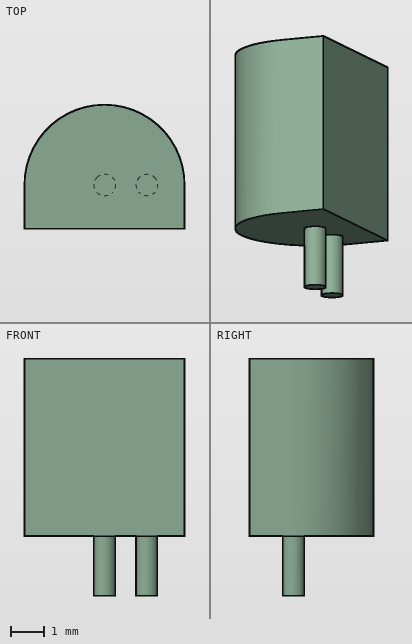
import cadquery as cq

total_height = 7.14
body_width = 4.83
body_depth = 3.74

lead_diameter = 0.65
lead_length = 1.8
lead_pitch = 1.27
lead_positions = [0.0, lead_pitch]

body_height = total_height - lead_length
body_radius = body_width / 2
flat_face_y = body_radius - body_depth


def make_body():
    """D-shaped body: flat face towards -Y, half-round side towards +Y."""
    return (
        cq.Workplane("XY")
        .moveTo(-body_radius, flat_face_y)
        .lineTo(body_radius, flat_face_y)
        .lineTo(body_radius, 0)
        .threePointArc((0, body_radius), (-body_radius, 0))
        .close()
        .extrude(body_height)
    )


def make_lead(x):
    """Round lead hanging from the underside of the body."""
    return cq.Workplane("XY").center(x, 0).circle(lead_diameter / 2).extrude(-lead_length)


body = make_body()
leads = [make_lead(x) for x in lead_positions]

result = cq.Compound.makeCompound([body.val(), *[lead.val() for lead in leads]])